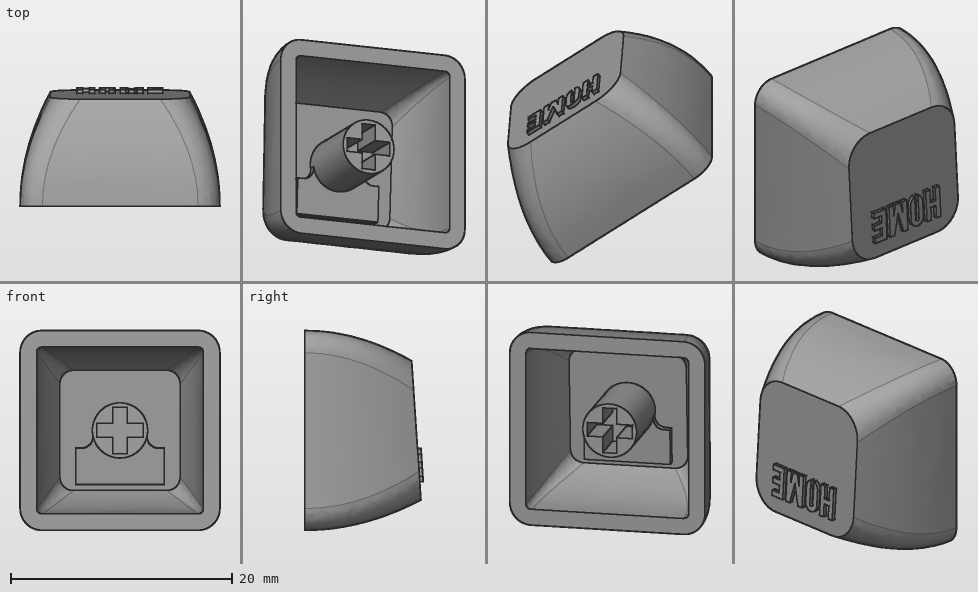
import cadquery as cq
import math


base_width = 18.1
base_corner = 2.0
top_width = 12.58
top_corner = 2.65
top_height = 10.11
top_tilt = 3.8
tilt_slope = math.tan(math.radians(top_tilt))

wall = 1.5
cavity_width = base_width - 2 * wall
cavity_corner = base_corner - wall
floor_width = 10.87
floor_corner = 1.2
floor_height = top_height - wall

stem_radius = 2.5
stem_start = 1.0
cross_length = 4.2
cross_width = 1.27
cross_depth = 4.0

plate_width = 7.97
plate_upper_z = -1.57
plate_lower_z = -4.85
plate_thickness = 0.7
plate_fillet = 1.0

stroke = 0.52
letter_rise = 0.32
letter_foot_z = -1.63
letter_head_z = -4.65
letter_height = letter_foot_z - letter_head_z
letter_mid_z = (letter_foot_z + letter_head_z) / 2
h_left, h_right = -3.91, -2.27
o_left, o_right = -1.87, -0.44
o_foot_gap = 0.36
m_left, m_right = 0.0, 2.1
e_left, e_right = 2.49, 3.87

LOFT_SECTIONS = 6
CLEAR = 2 * base_width


def tilted_plane(height, tilt):
    """Plane through (0, height, 0), turned about X, with its normal towards the open side."""
    angle = math.radians(tilt)
    return cq.Plane(
        origin=(0, height, 0), xDir=(1, 0, 0), normal=(0, -math.cos(angle), -math.sin(angle))
    )


def domed_block(start_width, start_corner, end_width, end_corner, height):
    """Rounded square that shrinks parabolically from Y = 0 to an end face tilted like the top."""
    sections = []
    for step in range(LOFT_SECTIONS):
        t = step / (LOFT_SECTIONS - 1)
        width = start_width + (end_width - start_width) * t**2
        corner = start_corner + (end_corner - start_corner) * t**2
        angle = math.atan(t * tilt_slope * end_width / width)
        outline = cq.Sketch().rect(width, width / math.cos(angle)).vertices().fillet(corner)
        plane = tilted_plane(t * height, math.degrees(angle))
        sections.append(outline.reset().wires().val().moved(plane.location))
    return cq.Workplane(cq.Solid.makeLoft(sections))


def below(height):
    """Everything on the open side of the tilted plane at this height."""
    return cq.Workplane(tilted_plane(height, top_tilt)).rect(CLEAR, CLEAR).extrude(CLEAR)


def xz_plane(start):
    """Workplane at Y = start, with local x along X and local y along Z."""
    return cq.Workplane("XZ", origin=(0, start, 0))


def make_stem():
    return xz_plane(stem_start).circle(stem_radius).extrude(-top_height).intersect(below(floor_height))


def make_cross():
    bar = xz_plane(stem_start).rect(cross_length, cross_width).extrude(-cross_depth)
    post = xz_plane(stem_start).rect(cross_width, cross_length).extrude(-cross_depth)
    return bar.union(post)


def make_plate():
    """Rectangle whose upper edge runs through concave arcs into the sides of the stem."""
    half = plate_width / 2
    stretch = 1 / math.cos(math.radians(top_tilt))
    lower = plate_lower_z * stretch
    upper = plate_upper_z * stretch
    centre_z = upper + plate_fillet
    centre_x = math.sqrt((stem_radius + plate_fillet) ** 2 - centre_z**2)
    touch = stem_radius / (stem_radius + plate_fillet)
    touch_x = centre_x * touch
    touch_z = centre_z * touch
    touch_angle = math.atan2(-centre_z, -centre_x) % (2 * math.pi)
    mid_angle = (touch_angle + 1.5 * math.pi) / 2
    mid_x = centre_x + plate_fillet * math.cos(mid_angle)
    mid_z = centre_z + plate_fillet * math.sin(mid_angle)
    return (
        cq.Workplane(tilted_plane(floor_height, top_tilt))
        .moveTo(-half, lower)
        .lineTo(half, lower)
        .lineTo(half, upper)
        .lineTo(centre_x, upper)
        .threePointArc((mid_x, mid_z), (touch_x, touch_z))
        .lineTo(-touch_x, touch_z)
        .threePointArc((-mid_x, mid_z), (-centre_x, upper))
        .lineTo(-half, upper)
        .close()
        .extrude(plate_thickness)
    )


def block(left, right, low_z, high_z):
    """Bar along Y over a rectangle in X and Z."""
    centre = ((left + right) / 2, (low_z + high_z) / 2)
    return xz_plane(0).center(*centre).rect(right - left, high_z - low_z).extrude(-CLEAR)


def post(left):
    """Upright stroke over the full height of a letter."""
    return block(left, left + stroke, letter_head_z, letter_foot_z)


def letter_h():
    crossbar = block(h_left, h_right, letter_mid_z - stroke / 2, letter_mid_z + stroke / 2)
    return post(h_left).union(post(h_right - stroke)).union(crossbar)


def letter_o():
    """Upright oblong ring, open at the foot."""
    width = o_right - o_left
    centre_x = (o_left + o_right) / 2
    start = xz_plane(0).center(centre_x, letter_mid_z)
    outside = start.slot2D(letter_height, width, 90).extrude(-CLEAR)
    inside = start.slot2D(letter_height - 2 * stroke, width - 2 * stroke, 90).extrude(-CLEAR)
    gap = block(centre_x - o_foot_gap / 2, centre_x + o_foot_gap / 2, letter_mid_z, letter_foot_z)
    return outside.cut(inside).cut(gap)


def letter_m():
    """Two posts joined by a V that comes down to the feet."""
    centre_x = (m_left + m_right) / 2
    letter = post(m_left).union(post(m_right - stroke))
    for outer_x, side in ((m_left, 1), (m_right, -1)):
        diagonal = (
            xz_plane(0)
            .moveTo(outer_x, letter_head_z)
            .lineTo(outer_x + side * stroke, letter_head_z)
            .lineTo(centre_x + side * stroke / 2, letter_foot_z)
            .lineTo(centre_x - side * stroke / 2, letter_foot_z)
            .close()
            .extrude(-CLEAR)
        )
        letter = letter.union(diagonal)
    return letter


def letter_e():
    letter = post(e_left)
    for middle_z in (letter_head_z + stroke / 2, letter_mid_z, letter_foot_z - stroke / 2):
        letter = letter.union(block(e_left, e_right, middle_z - stroke / 2, middle_z + stroke / 2))
    return letter


def make_word():
    """The letters, reaching from the backing plate through the shell to just above its top."""
    bars = letter_h().union(letter_o()).union(letter_m()).union(letter_e())
    return bars.intersect(below(top_height + letter_rise)).cut(below(floor_height))


insert = make_stem().union(make_plate()).cut(make_cross()).union(make_word())

dome = domed_block(base_width, base_corner, top_width, top_corner, top_height)
cavity = domed_block(cavity_width, cavity_corner, floor_width, floor_corner, floor_height)
shell = dome.cut(cavity).cut(make_word())

result = cq.Compound.makeCompound([shell.val(), insert.val()])